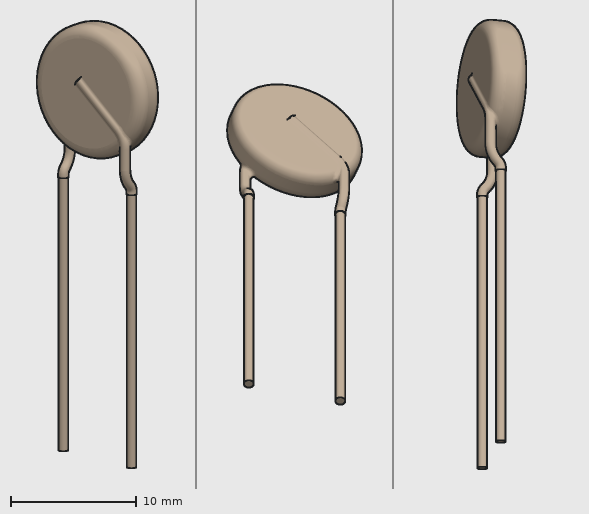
import cadquery as cq
import math

total_height = 36.0
disc_diameter = 11.0
disc_thickness = 2.95
disc_edge_radius = 1.0
coated_diameter = 0.85
bare_diameter = 0.8
lead_spacing = 7.5
overall_depth = 3.35
lead_depth_at_foot = 0.4

coat_end_z = 22.57
crank_top_z = 24.75
face_bend_z = 26.6

crank_angle = math.radians(46)
crank_radius = 2.0
face_bend_angle = math.radians(49)
face_bend_radius = 1.85
face_run = 5.22
bond_radius = 0.32

disc_center_z = total_height - disc_diameter / 2
lead_x = lead_spacing / 2
lead_depth_on_disc = (overall_depth - coated_diameter) / 2


def make_disc():
    """Upright round disc with both rims rounded."""
    disc = (
        cq.Workplane("XZ", origin=(0, disc_thickness / 2, disc_center_z))
        .circle(disc_diameter / 2)
        .extrude(disc_thickness)
    )
    return disc.faces("<Y or >Y").edges().fillet(disc_edge_radius)


def make_upper_lead():
    """Coated lead from the crank up to its end at the middle of the disc face."""
    bend_sin = math.sin(face_bend_angle)
    bend_cos = math.cos(face_bend_angle)
    bend_end = (lead_x - face_bend_radius * (1 - bend_cos), face_bend_z + face_bend_radius * bend_sin)
    half_sin = math.sin(face_bend_angle / 2)
    half_cos = math.cos(face_bend_angle / 2)
    bend_mid = (lead_x - face_bend_radius * (1 - half_cos), face_bend_z + face_bend_radius * half_sin)
    tip = (bend_end[0] - face_run * bend_sin, bend_end[1] + face_run * bend_cos)
    path = (
        cq.Workplane("XZ", origin=(0, -lead_depth_on_disc, 0))
        .moveTo(lead_x, crank_top_z)
        .lineTo(lead_x, face_bend_z)
        .threePointArc(bend_mid, bend_end)
        .lineTo(*tip)
    )
    section = cq.Workplane("XY", origin=(lead_x, -lead_depth_on_disc, crank_top_z))
    return section.circle(coated_diameter / 2).sweep(path)


def make_crank():
    """Coated lead bent inward below the disc in an S, ending vertical above the foot."""
    depth_change = lead_depth_on_disc - lead_depth_at_foot
    return_radius = depth_change / (1 - math.cos(crank_angle)) - crank_radius
    foot_start_z = crank_top_z - (crank_radius + return_radius) * math.sin(crank_angle)

    def inward_arc(angle):
        y = -lead_depth_on_disc + crank_radius * (1 - math.cos(angle))
        return (y, crank_top_z - crank_radius * math.sin(angle))

    def return_arc(angle):
        y = -lead_depth_at_foot - return_radius * (1 - math.cos(angle))
        return (y, foot_start_z + return_radius * math.sin(angle))

    path = (
        cq.Workplane("YZ", origin=(lead_x, 0, 0))
        .moveTo(-lead_depth_on_disc, crank_top_z)
        .threePointArc(inward_arc(crank_angle / 2), inward_arc(crank_angle))
        .threePointArc(return_arc(crank_angle / 2), (-lead_depth_at_foot, foot_start_z))
        .lineTo(-lead_depth_at_foot, coat_end_z)
    )
    section = cq.Workplane("XY", origin=(lead_x, -lead_depth_on_disc, crank_top_z))
    return section.circle(coated_diameter / 2).sweep(path)


def make_foot():
    """Bare vertical wire below the coating."""
    foot = cq.Workplane("XY", origin=(lead_x, -lead_depth_at_foot, 0))
    return foot.circle(bare_diameter / 2).extrude(coat_end_z)


def turned(body):
    """Copy for the opposite side, half a turn about the vertical axis."""
    return body.rotate((0, 0, 0), (0, 0, 1), 180)


def fill_lead_corners(part):
    """Coating that fills the corners between the disc faces and the straight runs of the leads."""
    for side in (1, -1):
        along_run = cq.Vector(-side * math.sin(face_bend_angle), 0, math.cos(face_bend_angle))
        part = part.edges(cq.selectors.ParallelDirSelector(along_run)).fillet(bond_radius)
    return part


upper_lead = make_upper_lead()
lower_lead = make_crank().union(make_foot())
lead = upper_lead.union(lower_lead)
result = fill_lead_corners(make_disc().union(lead).union(turned(lead)))